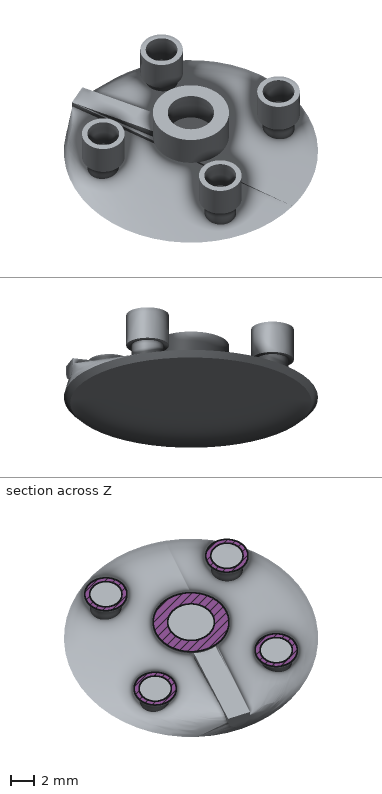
import cadquery as cq
import math

disk_radius = 11.0
rim_height = 0.48
rim_undercut = 0.55

total_height = 5.3
socket_base = 2.46
floor_thickness = 0.18
hub_diameter = 6.6
hub_bore = 4.0
post_diameter = 3.7
post_bore = 2.75
post_offset = 5.65

bar_width = 2.02
bar_radius = bar_width / 2
bar_axis_height = 1.98
bar_inner_x = -math.sqrt((hub_diameter / 2) ** 2 - bar_radius ** 2)
bar_outer_x = -math.sqrt(disk_radius ** 2 - bar_radius ** 2)

low_peak = cq.Vector(bar_outer_x, -bar_radius, bar_axis_height)
high_peak = cq.Vector(bar_outer_x, -bar_radius, socket_base)
sector_start_y = -1.98
sector_end_y = 3.65


def rim_point(angle):
    return cq.Vector(disk_radius * math.cos(angle), disk_radius * math.sin(angle), rim_height)


def cone_over(base_wire, peak):
    peak_vertex = cq.Vertex.makeVertex(peak.x, peak.y, peak.z)
    return cq.Workplane(cq.occ_impl.shapes.loft(base_wire, peak_vertex, cap=True, ruled=True))


def low_cover():
    rim = cq.Wire.makeCircle(disk_radius, cq.Vector(0, 0, rim_height), cq.Vector(0, 0, 1))
    return cone_over(rim, low_peak)


def high_cover():
    """Oblique cone sector whose two straight sides are vertical walls below the peak."""
    start_angle = math.asin(sector_start_y / disk_radius)
    end_angle = math.pi - math.asin(sector_end_y / disk_radius)
    start = rim_point(start_angle)
    end = rim_point(end_angle)
    foot = cq.Vector(high_peak.x, high_peak.y, rim_height)
    edges = [
        cq.Edge.makeThreePointArc(start, rim_point((start_angle + end_angle) / 2), end),
        cq.Edge.makeLine(end, foot),
        cq.Edge.makeLine(foot, start),
    ]
    return cone_over(cq.Wire.assembleEdges(edges), high_peak)


def disk():
    lower_radius = disk_radius - rim_undercut
    return cq.Workplane(cq.Solid.makeCone(lower_radius, disk_radius, rim_height))


def cup(x, y, diameter, bore):
    stem = cq.Workplane().center(x, y).circle(bore / 2).extrude(socket_base + floor_thickness)
    socket_plane = cq.Workplane().workplane(offset=socket_base).center(x, y)
    wall = socket_plane.circle(diameter / 2).circle(bore / 2).extrude(total_height - socket_base)
    return stem.union(wall)


def bar():
    profile = (
        cq.Workplane("YZ", origin=(-disk_radius, 0, 0))
        .moveTo(-bar_radius, socket_base)
        .lineTo(-bar_radius, bar_axis_height)
        .threePointArc((0, bar_axis_height - bar_radius), (bar_radius, bar_axis_height))
        .lineTo(bar_radius, socket_base)
        .close()
    )
    return profile.extrude(disk_radius + bar_inner_x)


result = disk().union(low_cover()).union(high_cover()).union(bar())
result = result.union(cup(0, 0, hub_diameter, hub_bore))
for x_side in (-1, 1):
    for y_side in (-1, 1):
        post = cup(x_side * post_offset, y_side * post_offset, post_diameter, post_bore)
        result = result.union(post)